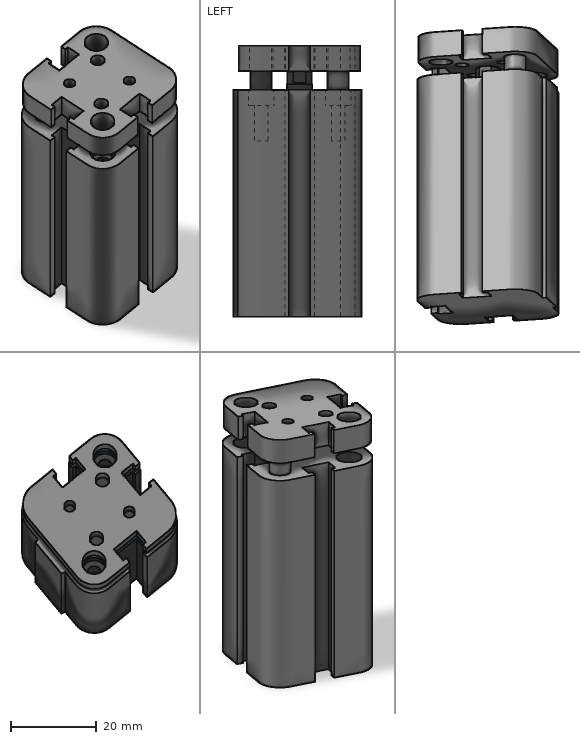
import cadquery as cq

body_width = 29.0
body_height = 53.15
corner_radius = 5.5

strip_base_width = 10.05
strip_top_width = 9.6
strip_height = 0.95

slot_opening_width = 5.0
slot_inner_width = 6.85
slot_lip_depth = 1.6
slot_depth = 5.0

total_height = 63.5
plate_inset = 0.25
plate_thickness = 6.0
plate_width = body_width - 2 * plate_inset
plate_bottom = total_height - plate_thickness

corner_offset = 9.0
guide_rod_diameter = 5.0
access_hole_diameter = 5.5
counterbore_diameter = 6.0
counterbore_depth = 3.6
screw_hole_diameter = 3.25
screw_hole_depth = 11.95

plate_hole_offset = 4.95
dowel_hole_diameter = 3.25
thread_hole_diameter = 2.65

collar_diameter = 6.0
collar_height = 1.3
neck_diameter = 5.8
flats_width = 5.0
flats_bottom = body_height + 1.65
neck_chamfer = 0.2

rising_diagonal = [(-1, -1), (1, 1)]
falling_diagonal = [(-1, 1), (1, -1)]


def diagonal_points(offset, signs):
    return [(offset * x_sign, offset * y_sign) for x_sign, y_sign in signs]


def rounded_block(width, radius, bottom, height):
    block = cq.Workplane("XY").workplane(offset=bottom).rect(width, width).extrude(height)
    return block.edges("|Z").fillet(radius)


def slot_cutters():
    """T-shaped cutters for the -Y, -X and +X faces, as tall as the whole part."""
    face = -body_width / 2
    lip = (
        cq.Workplane("XY")
        .center(0, face + slot_depth / 2)
        .rect(slot_opening_width, slot_depth)
        .extrude(total_height)
    )
    inner_depth = slot_depth - slot_lip_depth
    inner = (
        cq.Workplane("XY")
        .center(0, face + slot_lip_depth + inner_depth / 2)
        .rect(slot_inner_width, inner_depth)
        .extrude(total_height)
    )
    slot = lip.union(inner)
    return [slot.rotate((0, 0, 0), (0, 0, 1), angle) for angle in (0, 90, -90)]


def cut_slots(block):
    for cutter in slot_cutters():
        block = block.cut(cutter)
    return block


def make_strip():
    face = body_width / 2
    outline = [
        (-strip_base_width / 2, face),
        (strip_base_width / 2, face),
        (strip_top_width / 2, face + strip_height),
        (-strip_top_width / 2, face + strip_height),
    ]
    return cq.Workplane("XY").polyline(outline).close().extrude(body_height)


def make_housing():
    body = cut_slots(rounded_block(body_width, corner_radius, 0, body_height))
    body = body.union(make_strip())
    return (
        body.faces(">Z")
        .workplane(origin=(0, 0, body_height))
        .pushPoints(diagonal_points(corner_offset, falling_diagonal))
        .cboreHole(screw_hole_diameter, counterbore_diameter, counterbore_depth, screw_hole_depth)
    )


def make_plate():
    plate = cut_slots(
        rounded_block(plate_width, corner_radius - plate_inset, plate_bottom, plate_thickness)
    )
    hole_groups = [
        (access_hole_diameter, corner_offset, falling_diagonal),
        (dowel_hole_diameter, plate_hole_offset, falling_diagonal),
        (thread_hole_diameter, plate_hole_offset, rising_diagonal),
    ]
    for diameter, offset, signs in hole_groups:
        plate = (
            plate.faces(">Z")
            .workplane(origin=(0, 0, total_height))
            .pushPoints(diagonal_points(offset, signs))
            .hole(diameter)
        )
    return plate


def make_guide_rods():
    return (
        cq.Workplane("XY")
        .workplane(offset=body_height)
        .pushPoints(diagonal_points(corner_offset, rising_diagonal))
        .circle(guide_rod_diameter / 2)
        .extrude(plate_bottom - body_height)
    )


def make_piston_rod():
    """Collar and neck, the neck with flats on its -X and +X sides and a chamfered end."""
    collar_top = body_height + collar_height
    collar = (
        cq.Workplane("XY")
        .workplane(offset=body_height)
        .circle(collar_diameter / 2)
        .extrude(collar_height)
    )
    neck = (
        cq.Workplane("XY")
        .workplane(offset=collar_top)
        .circle(neck_diameter / 2)
        .extrude(plate_bottom - collar_top)
        .faces(">Z")
        .chamfer(neck_chamfer)
    )
    flat_depth = (neck_diameter - flats_width) / 2
    for side in (-1, 1):
        flat_cutter = (
            cq.Workplane("XY")
            .workplane(offset=flats_bottom)
            .center(side * (flats_width + flat_depth) / 2, 0)
            .rect(flat_depth, neck_diameter)
            .extrude(plate_bottom - flats_bottom)
        )
        neck = neck.cut(flat_cutter)
    return collar.union(neck)


def make_yoke():
    """Plate, guide rods and piston rod as one moving body, standing on the housing top."""
    return make_plate().union(make_guide_rods()).union(make_piston_rod())


housing = make_housing()
yoke = make_yoke()
result = cq.Compound.makeCompound([housing.val(), yoke.val()])